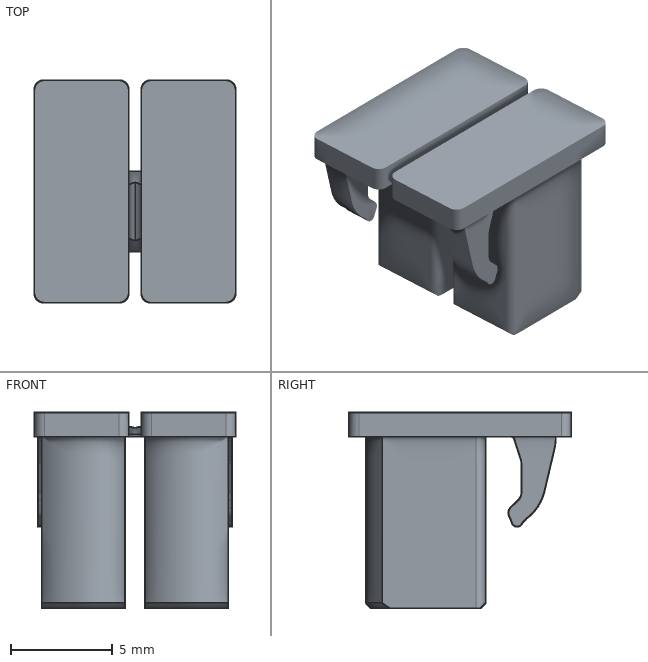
import cadquery as cq

width = 9.95
length = 11
height = 9.68

cap_gap = 0.6
cap_thickness = 1.21
cap_corner_radius = 0.5
cap_width = (width - cap_gap) / 2
cap_bottom = height - cap_thickness
cap_center_x = (cap_gap + cap_width) / 2

plug_width = 4.12
plug_inner_x = 0.48
plug_outer_x = plug_inner_x + plug_width
plug_center_x = plug_inner_x + plug_width / 2
plug_back_y = 1.28
plug_side_front_y = -3.85
plug_bow = 0.81
plug_corner_radius = 0.51
plug_chamfer = 0.28

hook_outer_x = 4.8
hook_thickness = 1.41

bridge_back_y = 1.0
bridge_front_y = -2.98
bridge_height = 0.52
bridge_end_height = 0.14
bridge_ramp_length = 0.66
bridge_groove_depth = 0.07


def make_cap():
    cap = cq.Workplane("XY", origin=(cap_center_x, 0, cap_bottom)).rect(cap_width, length)
    return cap.extrude(cap_thickness).edges("|Z").fillet(cap_corner_radius)


def make_plug():
    plug = (
        cq.Workplane("XY")
        .moveTo(plug_inner_x, plug_back_y)
        .lineTo(plug_inner_x, plug_side_front_y)
        .threePointArc(
            (plug_center_x, plug_side_front_y - plug_bow),
            (plug_outer_x, plug_side_front_y),
        )
        .lineTo(plug_outer_x, plug_back_y)
        .close()
        .extrude(cap_bottom)
    )
    plug = plug.faces("<Z").edges("%CIRCLE").chamfer(plug_chamfer)
    plug = plug.faces(">Y").edges("|Z").fillet(plug_corner_radius)
    bevel = (
        cq.Workplane("YZ", origin=(plug_inner_x, 0, 0))
        .moveTo(plug_back_y, 0)
        .lineTo(plug_back_y - plug_chamfer, 0)
        .lineTo(plug_back_y, plug_chamfer)
        .close()
        .extrude(plug_width)
    )
    return plug.cut(bevel)


def make_hook():
    return (
        cq.Workplane("YZ", origin=(hook_outer_x - hook_thickness, 0, cap_bottom))
        .moveTo(4.73, 0)
        .threePointArc((4.72, -0.31), (4.66, -0.62))
        .lineTo(4.17, -2.72)
        .threePointArc((3.85, -3.43), (3.3, -4.03))
        .lineTo(3.08, -4.25)
        .threePointArc((2.78, -4.43), (2.54, -4.19))
        .lineTo(2.44, -3.96)
        .threePointArc((2.39, -3.72), (2.49, -3.49))
        .lineTo(2.92, -3.07)
        .threePointArc((3.0, -2.9), (3.02, -2.71))
        .lineTo(3.02, -1.29)
        .lineTo(3.0, -1.14)
        .lineTo(2.68, -0.15)
        .threePointArc((2.64, -0.05), (2.55, 0))
        .close()
        .extrude(hook_thickness)
    )


def make_bridge():
    bridge = (
        cq.Workplane("YZ", origin=(-cap_gap / 2, 0, cap_bottom))
        .moveTo(bridge_back_y, 0)
        .lineTo(bridge_back_y, bridge_end_height)
        .lineTo(bridge_back_y - bridge_ramp_length, bridge_height)
        .lineTo(bridge_front_y + bridge_ramp_length, bridge_height)
        .lineTo(bridge_front_y, bridge_end_height)
        .lineTo(bridge_front_y, 0)
        .close()
        .extrude(cap_gap)
    )
    groove = (
        cq.Workplane("XZ", origin=(0, bridge_back_y, cap_bottom + bridge_height))
        .moveTo(-cap_gap / 2, 0)
        .lineTo(0, -bridge_groove_depth)
        .lineTo(cap_gap / 2, 0)
        .close()
        .extrude(bridge_back_y - bridge_front_y)
    )
    return bridge.cut(groove)


right_half = make_cap().union(make_plug()).union(make_hook())
left_half = right_half.mirror("YZ")
result = right_half.union(make_bridge()).union(left_half)